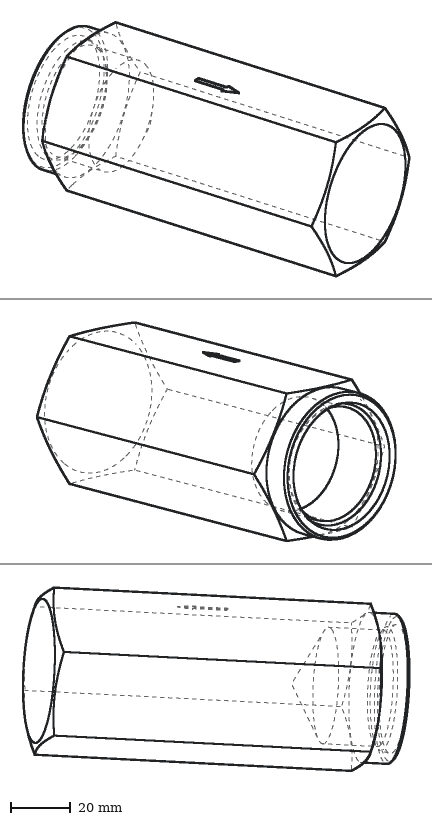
import cadquery as cq
import math

length = 121.4
across_flats = 50.7
across_corners = across_flats / math.cos(math.radians(30))

collar_length = 9.6
collar_diameter = 50.3
collar_chamfer = 0.8

corner_angle = 20.0
far_face_diameter = 48.2

mouth_diameter = 43.2
throat_diameter = 41.4
bore_diameter = 39.0
mouth_depth = 3.3
step_length = (throat_diameter - bore_diameter) / 2
bore_depth = 23.2
drill_point_angle = 118.0

arrow_tail_x = 56.1
arrow_tip_x = 73.1
arrow_head_length = 5.6
arrow_shaft_width = 2.1
arrow_head_width = 4.1
arrow_center_y = -3.6
arrow_depth = 0.2


def turned(profile):
    """Revolve an (x, radius) outline about the X axis."""
    return cq.Workplane("XY").polyline(profile).close().revolve(360, (0, 0, 0), (1, 0, 0))


def make_hexagon():
    prism = (
        cq.Workplane("YZ")
        .workplane(offset=collar_length)
        .polygon(6, across_corners)
        .extrude(length - collar_length)
    )
    corner_radius = across_corners / 2
    slope = math.tan(math.radians(corner_angle))
    near_trim = (corner_radius - collar_diameter / 2) * slope
    far_trim = (corner_radius - far_face_diameter / 2) * slope
    trimmed_bar = turned([
        (collar_length, 0),
        (collar_length, collar_diameter / 2),
        (collar_length + near_trim, corner_radius),
        (length - far_trim, corner_radius),
        (length, far_face_diameter / 2),
        (length, 0),
    ])
    return prism.intersect(trimmed_bar)


def make_collar():
    collar = cq.Workplane("YZ").circle(collar_diameter / 2).extrude(collar_length)
    return collar.faces("<X").chamfer(collar_chamfer)


def make_port():
    bore_radius = bore_diameter / 2
    point_length = bore_radius / math.tan(math.radians(drill_point_angle / 2))
    return turned([
        (0, 0),
        (0, mouth_diameter / 2),
        (mouth_depth, throat_diameter / 2),
        (mouth_depth + step_length, bore_radius),
        (bore_depth, bore_radius),
        (bore_depth + point_length, 0),
    ])


def make_flow_arrow():
    head_start_x = arrow_tip_x - arrow_head_length
    return (
        cq.Workplane("XY")
        .workplane(offset=across_flats / 2 - arrow_depth)
        .center(0, arrow_center_y)
        .polyline([
            (arrow_tail_x, -arrow_shaft_width / 2),
            (head_start_x, -arrow_shaft_width / 2),
            (head_start_x, -arrow_head_width / 2),
            (arrow_tip_x, 0),
            (head_start_x, arrow_head_width / 2),
            (head_start_x, arrow_shaft_width / 2),
            (arrow_tail_x, arrow_shaft_width / 2),
        ])
        .close()
        .extrude(2 * arrow_depth)
    )


result = make_hexagon().union(make_collar()).cut(make_port()).cut(make_flow_arrow())